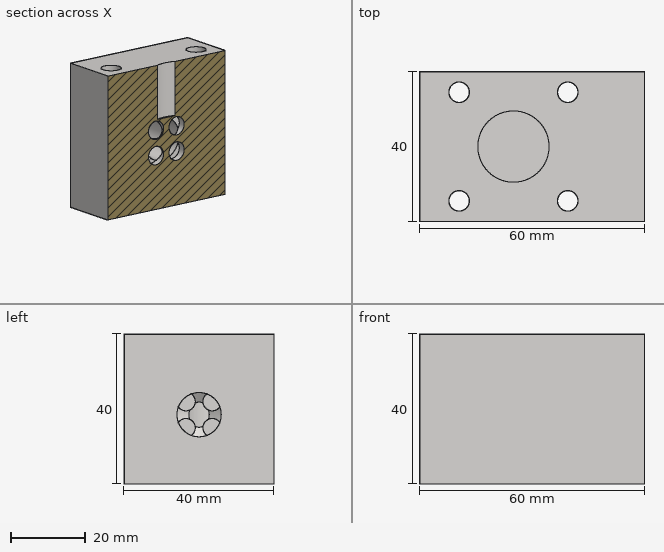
import cadquery as cq
import math

LENGTH = 60.0
WIDTH = 40.0
HEIGHT = 40.0

BORE_X = -5.0
BORE_DIAMETER = 19.0
BORE_DEPTH = 15.0

BOLT_DIAMETER = 5.4
BOLT_SPACING = 29.0

PORT_Z = -1.5
PORT_DIAMETER = 11.8
PORT_DEPTH = 14.0
PORT_TIP_ANGLE = 118.0
CORE_DIAMETER = BORE_DIAMETER

DRILLING_DIAMETER = 5.0
DRILLING_SPACING = 7.0
DRILLING_END_DEPTH = 18.0

LEFT_X = -LENGTH / 2
TOP_Z = HEIGHT / 2
BOTTOM_Z = -HEIGHT / 2


def upright_cylinder(diameter, bottom_z, top_z):
    """Vertical cylinder on the bore axis."""
    base = cq.Workplane("XY", origin=(BORE_X, 0, bottom_z))
    return base.circle(diameter / 2).extrude(top_z - bottom_z)


def square_of_cylinders(base, spacing, diameter, length):
    """Four equal cylinders on the corners of a square centred on the base plane's origin."""
    corners = base.rect(spacing, spacing, forConstruction=True).vertices()
    return corners.circle(diameter / 2).extrude(length)


def make_bolt_holes():
    base = cq.Workplane("XY", origin=(BORE_X, 0, BOTTOM_Z))
    return square_of_cylinders(base, BOLT_SPACING, BOLT_DIAMETER, HEIGHT)


def make_port():
    radius = PORT_DIAMETER / 2
    tip_length = radius / math.tan(math.radians(PORT_TIP_ANGLE / 2))
    half_profile = (
        cq.Workplane("XY", origin=(LEFT_X, 0, PORT_Z))
        .lineTo(0, radius)
        .lineTo(PORT_DEPTH, radius)
        .lineTo(PORT_DEPTH + tip_length, 0)
        .close()
    )
    pointed_port = half_profile.revolve(360, (0, 0, 0), (1, 0, 0))
    core = upright_cylinder(CORE_DIAMETER, BOTTOM_Z, TOP_Z)
    return pointed_port.cut(core)


def make_port_drillings():
    base = cq.Workplane("YZ", origin=(LEFT_X + PORT_DEPTH, 0, PORT_Z))
    length = DRILLING_END_DEPTH - PORT_DEPTH
    return square_of_cylinders(base, DRILLING_SPACING, DRILLING_DIAMETER, length)


block = cq.Workplane("XY").box(LENGTH, WIDTH, HEIGHT)
bore = upright_cylinder(BORE_DIAMETER, TOP_Z - BORE_DEPTH, TOP_Z)

result = (
    block.cut(bore)
    .cut(make_bolt_holes())
    .cut(make_port())
    .cut(make_port_drillings())
)